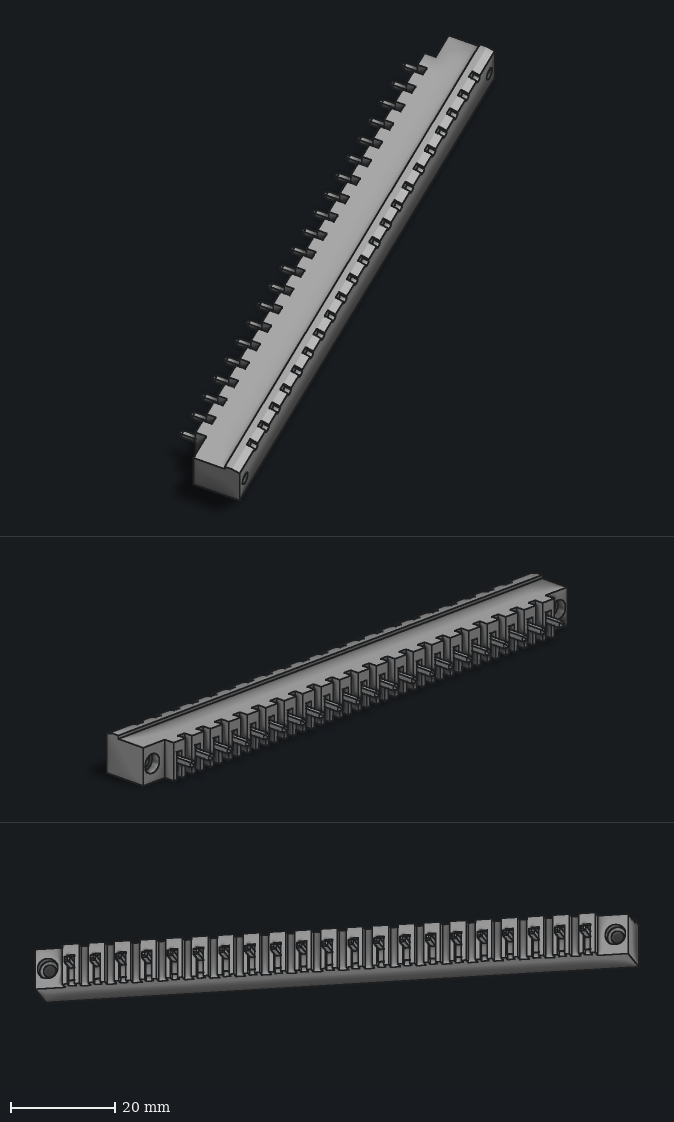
import cadquery as cq

PIN_COUNT = 21
HOLE_SPACING = 111.8
PIN_PITCH = HOLE_SPACING / (PIN_COUNT + 1)
AXIS_HEIGHT = 4.0

LENGTH = 116.8
BODY_DEPTH = 9.8
BODY_HEIGHT = 8.0

LIP_TOP = 8.6
LIP_START = 3.2
LIP_SLOPE_START = 1.6
LIP_EDGE_HEIGHT = 8.2

TOOTH_WIDTH = 3.3
TOOTH_REACH = 12.2
GAP_REACH = 10.2

SLOT_WIDTH = 1.4
SLOT_HEIGHT = 5.7
SLOT_DEPTH = 1.2
FOOT_HEIGHT = 1.0
FOOT_DEPTH = 1.5

PIN_REACH = 16.2
PIN_SIZE = 1.0
PIN_TIP_SIZE = 0.5
PIN_TIP_LENGTH = 0.7

GROOVE_WIDTH = 1.5
GROOVE_SIDE_DEPTH = 0.6
GROOVE_FLOOR_DEPTH = 0.8
GROOVE_END_RUN = 0.5

HOLE_DIAMETER = 2.5
COUNTERBORE_DIAMETER = 4.0
COUNTERBORE_DEPTH = 2.0

LAST_PIN_Y = (PIN_COUNT - 1) / 2 * PIN_PITCH
PIN_POSITIONS = [i * PIN_PITCH - LAST_PIN_Y for i in range(PIN_COUNT)]


def box(x_start, x_end, y_center, width, height):
    """Upright block standing on the underside plane."""
    return (
        cq.Workplane("XY")
        .box(x_end - x_start, width, height, centered=(False, True, False))
        .translate((x_start, y_center, 0))
    )


def rod(x_start, x_end, y_center, z_center, diameter):
    """Round bar parallel to X."""
    return (
        cq.Workplane("YZ", origin=(x_start, y_center, z_center))
        .circle(diameter / 2)
        .extrude(x_end - x_start)
    )


def make_bar():
    """Housing section in XZ, with the lip, run along the whole length."""
    return (
        cq.Workplane("XZ")
        .moveTo(-BODY_DEPTH, 0)
        .lineTo(0, 0)
        .lineTo(0, LIP_EDGE_HEIGHT)
        .lineTo(-LIP_SLOPE_START, LIP_TOP)
        .lineTo(-LIP_START, LIP_TOP)
        .lineTo(-LIP_START, BODY_HEIGHT)
        .lineTo(-BODY_DEPTH, BODY_HEIGHT)
        .close()
        .extrude(LENGTH / 2, both=True)
    )


def make_pin(y):
    """Square pin rooted in the bar, tapering at its free end."""
    taper_start = PIN_REACH - PIN_TIP_LENGTH
    shank = (
        cq.Workplane("YZ", origin=(-taper_start, y, AXIS_HEIGHT))
        .rect(PIN_SIZE, PIN_SIZE)
        .extrude(taper_start - BODY_DEPTH / 2)
    )
    tip = (
        cq.Workplane("YZ", origin=(-PIN_REACH, y, AXIS_HEIGHT))
        .rect(PIN_TIP_SIZE, PIN_TIP_SIZE)
        .workplane(offset=PIN_TIP_LENGTH)
        .rect(PIN_SIZE, PIN_SIZE)
        .loft(ruled=True)
    )
    return shank.union(tip)


def make_slot(y):
    """Slot in a tooth with its deeper foot."""
    upper = box(-TOOTH_REACH, SLOT_DEPTH - TOOTH_REACH, y, SLOT_WIDTH, SLOT_HEIGHT)
    foot = box(-TOOTH_REACH, FOOT_DEPTH - TOOTH_REACH, y, SLOT_WIDTH, FOOT_HEIGHT)
    return upper.union(foot)


def make_groove(y):
    """Groove following the lip's slope, with a hollow floor and a slanted inner end."""
    slope = cq.Vector(LIP_SLOPE_START, 0, LIP_EDGE_HEIGHT - LIP_TOP)
    section = (
        cq.Workplane("YZ", origin=(-LIP_SLOPE_START, y, LIP_TOP))
        .moveTo(-GROOVE_WIDTH / 2, GROOVE_SIDE_DEPTH)
        .lineTo(-GROOVE_WIDTH / 2, -GROOVE_SIDE_DEPTH)
        .threePointArc((0, -GROOVE_FLOOR_DEPTH), (GROOVE_WIDTH / 2, -GROOVE_SIDE_DEPTH))
        .lineTo(GROOVE_WIDTH / 2, GROOVE_SIDE_DEPTH)
        .close()
    )
    channel = cq.Workplane(cq.Solid.extrudeLinear(section.val(), [], slope))
    floor_drop = GROOVE_FLOOR_DEPTH + LIP_TOP - LIP_EDGE_HEIGHT
    slanted_end = (
        cq.Workplane("XZ", origin=(-LIP_SLOPE_START, y, LIP_TOP))
        .lineTo(0, -floor_drop)
        .lineTo(GROOVE_END_RUN, -floor_drop)
        .close()
        .extrude(GROOVE_WIDTH / 2, both=True)
    )
    return channel.cut(slanted_end)


def make_mounting_hole(y):
    """Through hole with its counterbore at the pin side."""
    through = rod(-BODY_DEPTH, 0, y, AXIS_HEIGHT, HOLE_DIAMETER)
    counterbore = rod(
        -BODY_DEPTH, COUNTERBORE_DEPTH - BODY_DEPTH, y, AXIS_HEIGHT, COUNTERBORE_DIAMETER
    )
    return through.union(counterbore)


result = make_bar()

teeth_span = 2 * LAST_PIN_Y + TOOTH_WIDTH
result = result.union(box(-GAP_REACH, -BODY_DEPTH / 2, 0, teeth_span, BODY_HEIGHT))

for y in PIN_POSITIONS:
    tooth = box(-TOOTH_REACH, -BODY_DEPTH / 2, y, TOOTH_WIDTH, BODY_HEIGHT)
    result = result.union(tooth.cut(make_slot(y))).union(make_pin(y))
    result = result.cut(make_groove(y))

for y in (-HOLE_SPACING / 2, HOLE_SPACING / 2):
    result = result.cut(make_mounting_hole(y))